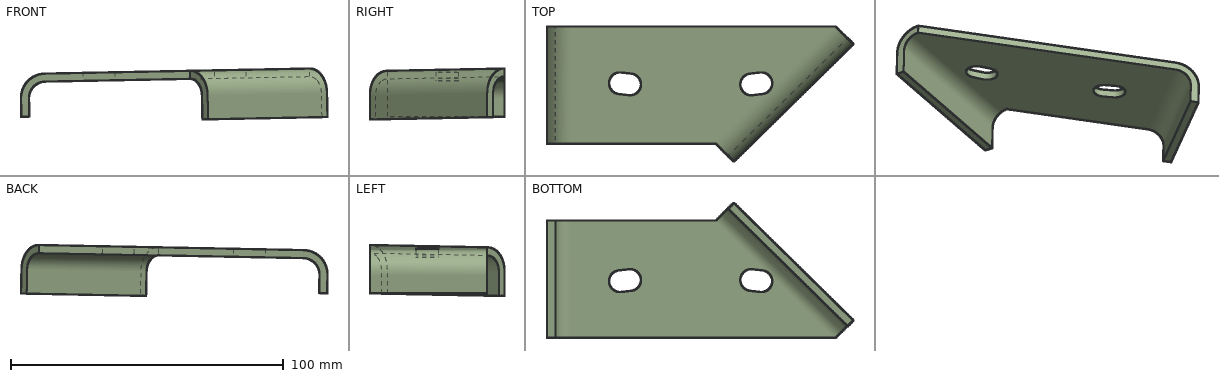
import cadquery as cq
import math

overall_length = 112.4
thickness = 3.0
bend_radius = 9.0
left_depth = 15.7
right_depth = 18.0
tilt = 1.1

plate_width = 43.0
slant_angle = 44.5
slant_cos = math.cos(math.radians(slant_angle))
slant_sin = math.sin(math.radians(slant_angle))
slant_length = plate_width / slant_sin
slant_run = slant_length * slant_cos

tilt_cos = math.cos(math.radians(tilt))
tilt_sin = math.sin(math.radians(tilt))
left_extreme = bend_radius * (tilt_cos + tilt_sin - 1)
right_extreme = left_extreme + overall_length
outer_corner_x = (right_extreme - right_depth * tilt_sin) / tilt_cos
long_edge_end = outer_corner_x - bend_radius * slant_sin
short_edge_end = long_edge_end - slant_run

slot_length = 11.7
slot_width = 7.9
slot_y = 22.0
slot_angle = 6.5
left_slot_x = 28.8
right_slot_x = 76.9


def bent_flange(start, outward, along, depth, length):
    """Quarter-round bend and downward flange, swept along a bend line."""
    plane = cq.Plane(origin=start, xDir=outward, normal=along)
    inner_radius = bend_radius - thickness
    diagonal = math.sqrt(0.5)
    return (
        cq.Workplane(plane)
        .moveTo(0, 0)
        .threePointArc(
            (bend_radius * diagonal, bend_radius * (diagonal - 1)),
            (bend_radius, -bend_radius),
        )
        .lineTo(bend_radius, -depth)
        .lineTo(inner_radius, -depth)
        .lineTo(inner_radius, -bend_radius)
        .threePointArc(
            (inner_radius * diagonal, inner_radius * diagonal - bend_radius),
            (0, -thickness),
        )
        .close()
        .extrude(length)
    )


def slot_cutter(x, angle):
    """Slot-shaped cutter passing through the plate and the edge of the bend."""
    return (
        cq.Workplane("XY")
        .center(x, slot_y)
        .slot2D(slot_length, slot_width, angle)
        .extrude(2 * thickness, both=True)
    )


plate = (
    cq.Workplane("XY")
    .polyline([
        (bend_radius, 0),
        (short_edge_end, 0),
        (long_edge_end, plate_width),
        (bend_radius, plate_width),
    ])
    .close()
    .extrude(-thickness)
)

left_flange = bent_flange(
    (bend_radius, 0, 0), (-1, 0, 0), (0, 1, 0), left_depth, plate_width
)

right_flange = bent_flange(
    (long_edge_end, plate_width, 0),
    (slant_sin, -slant_cos, 0),
    (-slant_cos, -slant_sin, 0),
    right_depth,
    slant_length,
)

bracket = plate.union(left_flange).union(right_flange)
bracket = bracket.cut(slot_cutter(left_slot_x, -slot_angle))
bracket = bracket.cut(slot_cutter(right_slot_x, slot_angle))

result = bracket.rotate((0, 0, 0), (0, 1, 0), -tilt)